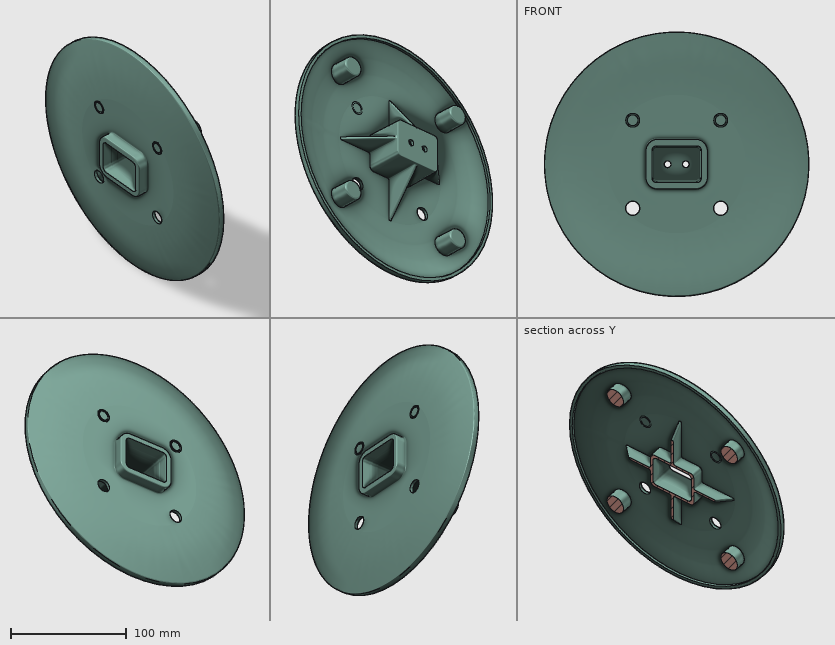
import cadquery as cq
import math

overall_depth = 48.46
disc_diameter = 228.51
disc_depth = 10.0
plate_thickness = 3.0
flat_diameter = 119.5
dome_drop = 5.0
rim_fillet = 1.0

collar_height = 10.0
collar_width = 53.0
collar_length_z = 43.0
collar_corner_radius = 10.0
collar_fillet = 1.0

draft_angle = 1.0
box_back_y = overall_depth - collar_height
box_width = 46.6
box_length_z = 35.8
box_corner_radius = 4.0
box_edge_fillet = 0.5

wall_thickness = 3.0
pocket_corner_radius = 4.2
pocket_floor_fillet = 1.0
ledge_inset = 0.2
ledge_length = 1.0
middle_ledge_y = -0.8
deep_ledge_y = 5.5

cable_hole_diameter = 5.6
cable_hole_x = 7.85

rib_thickness = 3.0
rib_reach = 51.0
rib_top_drop = 1.5
rib_edge_fillet = 1.0
rib_root_fillet = 1.5

post_diameter = 18.8
post_end_y = 23.4
post_offset = 61.5
post_end_fillet = 1.5

mount_hole_diameter = 12.0
mount_hole_offset = 38.0
knockout_diameter = 9.2
knockout_groove_depth = 2.0

draft_slope = math.tan(math.radians(draft_angle))
body_start_y = plate_thickness / 2
box_length = box_back_y - body_start_y
box_growth = box_length * draft_slope


def xz_plane(y):
    """Sketch plane at the given y whose normal points toward +Y (local x = -X, local y = Z)."""
    return cq.Workplane(cq.Plane(origin=(0, y, 0), xDir=(-1, 0, 0), normal=(0, 1, 0)))


def rounded_prism(y_start, length, width, length_z, radius, taper=0.0):
    """Rounded rectangle extruded toward +Y, optionally narrowing along the way."""
    outline = cq.Sketch().rect(width, length_z).vertices().fillet(radius)
    return xz_plane(y_start).placeSketch(outline).extrude(length, taper=taper)


def cylinder(y_start, length, diameter, x, z, taper=0.0):
    shape = xz_plane(y_start).circle(diameter / 2).extrude(length, taper=taper)
    return shape.translate((x, 0, z))


def nearest(point):
    return cq.selectors.NearestToPointSelector(point)


def dome_solid(flat_y, outer_radius, dome_radius):
    """Solid behind a flat-centred dome, reaching from the dome to the rim plane."""
    flat_radius = flat_diameter / 2
    end_angle = math.asin((outer_radius - flat_radius) / dome_radius)

    def dome_point(angle):
        x = flat_radius + dome_radius * math.sin(angle)
        return x, flat_y + dome_radius * (1 - math.cos(angle))

    profile = (
        cq.Workplane("XY")
        .moveTo(0, flat_y)
        .lineTo(flat_radius, flat_y)
        .threePointArc(dome_point(end_angle / 2), dome_point(end_angle))
        .lineTo(outer_radius, disc_depth)
        .lineTo(0, disc_depth)
        .close()
    )
    return profile.revolve(360, (0, 0, 0), (0, 1, 0))


def dished_disc():
    rim_radius = disc_diameter / 2
    dome_run = rim_radius - flat_diameter / 2
    dome_radius = (dome_run**2 + dome_drop**2) / (2 * dome_drop)
    outer = dome_solid(0, rim_radius, dome_radius)
    outer = outer.edges(nearest((0, dome_drop, 0))).fillet(rim_fillet)
    hollow = dome_solid(plate_thickness, rim_radius - plate_thickness, dome_radius - plate_thickness)
    return outer.cut(hollow)


def add_collar(body):
    collar = rounded_prism(
        -collar_height, collar_height + body_start_y,
        collar_width, collar_length_z, collar_corner_radius,
    )
    collar = collar.faces("<Y").edges().fillet(collar_fillet)
    body = body.union(collar)
    half_x = collar_width / 2 + collar_fillet
    half_y = collar_fillet / 2
    half_z = collar_length_z / 2 + collar_fillet
    root = cq.selectors.BoxSelector((-half_x, -half_y, -half_z), (half_x, half_y, half_z), boundingbox=True)
    return body.edges(root).fillet(collar_fillet)


def rib_profile(half_size):
    """Corners of a rib reaching from the disc axis past a box wall at half_size."""
    top_y = box_back_y - rib_top_drop
    run_per_rise = (rib_reach - half_size) / (top_y - disc_depth)
    toe = rib_reach + run_per_rise * (disc_depth - body_start_y)
    return [(0, body_start_y), (toe, body_start_y), (half_size, top_y), (0, top_y)]


def ribbed_box():
    """Drafted box with a rib on each side, still without its pocket."""
    box = rounded_prism(
        body_start_y, box_length, box_width + 2 * box_growth, box_length_z + 2 * box_growth,
        box_corner_radius + box_growth, draft_angle,
    )
    crest_points = []
    root_points = []
    for angle in (0, 90, 180, 270):
        half_size = (box_width if angle % 180 == 0 else box_length_z) / 2
        corners = rib_profile(half_size)
        rib = cq.Workplane("XY").polyline(corners).close().extrude(rib_thickness / 2, both=True)
        box = box.union(rib.rotate((0, 0, 0), (0, 1, 0), angle))

        toe = corners[1][0]
        mid_y = (corners[1][1] + corners[2][1]) / 2
        turn = math.radians(angle)
        for flank in (-rib_thickness / 2, rib_thickness / 2):
            crest_reach = (toe + half_size) / 2
            root_reach = half_size + box_growth / 2
            for points, reach in ((crest_points, crest_reach), (root_points, root_reach)):
                x = reach * math.cos(turn) + flank * math.sin(turn)
                z = flank * math.cos(turn) - reach * math.sin(turn)
                points.append((x, mid_y, z))

    for points, radius in ((crest_points, rib_edge_fillet), (root_points, rib_root_fillet)):
        edges = [box.edges(nearest(point)).val() for point in points]
        box = box.newObject(edges).fillet(radius)
    return box.faces(">Y").edges().fillet(box_edge_fillet)


def pocket():
    """Drafted cavity built as stretches along Y, each starting where the last one ended."""
    mouth_y = -collar_height
    floor_y = box_back_y - wall_thickness
    ledge_taper = math.degrees(math.atan(ledge_inset / ledge_length))
    stretches = [
        (mouth_y + ledge_length, ledge_taper),
        (middle_ledge_y, draft_angle),
        (middle_ledge_y + ledge_length, ledge_taper),
        (deep_ledge_y, draft_angle),
        (deep_ledge_y + ledge_length, ledge_taper),
        (floor_y, draft_angle),
    ]
    mouth_growth = (box_back_y - mouth_y) * draft_slope
    outward = mouth_growth - wall_thickness + ledge_inset
    radius = pocket_corner_radius
    y = mouth_y
    cavity = None
    for end_y, taper in stretches:
        stretch = rounded_prism(
            y, end_y - y, box_width + 2 * outward, box_length_z + 2 * outward, radius, taper,
        )
        inset = (end_y - y) * math.tan(math.radians(taper))
        if end_y == floor_y:
            stretch = stretch.faces(">Y").edges().fillet(pocket_floor_fillet)
        cavity = stretch if cavity is None else cavity.union(stretch)
        outward -= inset
        radius -= inset
        y = end_y
    return cavity


def post(x, z):
    length = post_end_y - plate_thickness
    shape = cylinder(plate_thickness, length, post_diameter, x, z, draft_angle)
    return shape.faces(">Y").edges().fillet(post_end_fillet)


def knockout_groove(x, z):
    ring = cylinder(0, knockout_groove_depth, mount_hole_diameter, x, z)
    return ring.cut(cylinder(0, knockout_groove_depth, knockout_diameter, x, z))


result = add_collar(dished_disc()).union(ribbed_box())
for side in (-1, 1):
    for level in (-1, 1):
        result = result.union(post(side * post_offset, level * post_offset))
result = result.cut(pocket())
for side in (-1, 1):
    mount_x = side * mount_hole_offset
    result = result.cut(cylinder(0, plate_thickness, mount_hole_diameter, mount_x, -mount_hole_offset))
    result = result.cut(knockout_groove(mount_x, mount_hole_offset))
    result = result.cut(cylinder(0, box_back_y, cable_hole_diameter, side * cable_hole_x, 0))